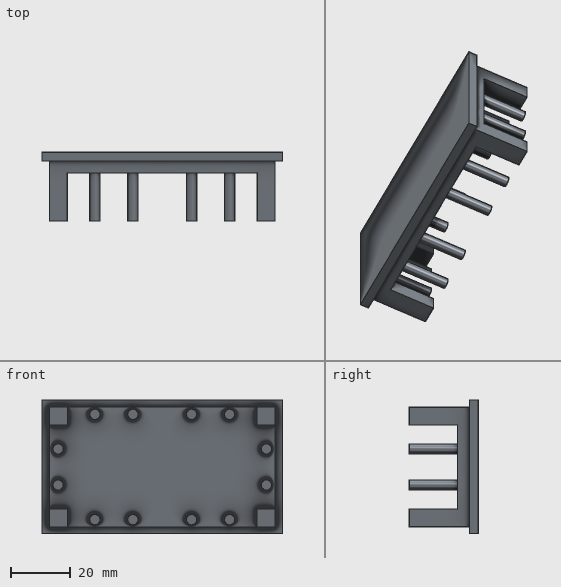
import cadquery as cq

flange_length = 80.2
flange_height = 44.6
flange_thickness = 3.0

side_inset = 2.5
mean_end_inset = 2.3
body_drop = 0.1
body_thickness = 4.0
body_length = flange_length - 2 * side_inset
body_height = flange_height - 2 * mean_end_inset

total_depth = 23.0
leg_side = 6.0
body_front = flange_thickness + body_thickness
post_length = total_depth - body_front

pin_diameter = 3.45
inner_pin_x = 9.8
outer_pin_x = 22.45
row_pin_z = 17.6
side_pin_x = 34.7
side_pin_z = 6.0


def mirrored(x, z):
    """The four points that mirror (x, z) about both centre lines."""
    return [(sx * x, sz * z) for sx in (-1, 1) for sz in (-1, 1)]


def front_plane(depth):
    """XZ plane facing -Y, the given depth in front of the flange's back face."""
    return cq.Workplane("XZ").workplane(offset=depth)


flange = front_plane(0).rect(flange_length, flange_height).extrude(flange_thickness)
body = front_plane(flange_thickness).rect(body_length, body_height).extrude(body_thickness)

leg_centres = mirrored((body_length - leg_side) / 2, (body_height - leg_side) / 2)
legs = front_plane(body_front).pushPoints(leg_centres).rect(leg_side, leg_side).extrude(post_length)

pin_centres = (
    mirrored(inner_pin_x, row_pin_z)
    + mirrored(outer_pin_x, row_pin_z)
    + mirrored(side_pin_x, side_pin_z)
)
pins = front_plane(body_front).pushPoints(pin_centres).circle(pin_diameter / 2).extrude(post_length)

terminal_block = body.union(legs).union(pins).translate((0, 0, -body_drop))

result = flange.union(terminal_block)